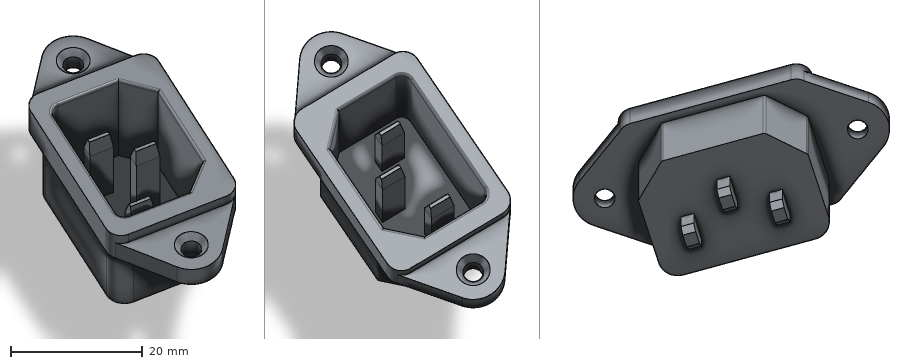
import cadquery as cq
import math

flange_height = 5.6
ear_height = 3.65
body_depth = 13.95
terminal_length = 4.65

flange_length = 30.75
flange_width = 21.8
flange_corner_radius = 2.6
overall_length = 49.85
ear_hole_x = 20.1
ear_radius = overall_length / 2 - ear_hole_x
ear_hole_diameter = 3.1
countersink_diameter = 5.15

wall = 1.4
recess_length = 24.2
recess_width = 16.4
recess_bevel = 4.5
recess_corner_radius = 1.65
recess_lip_radius = 0.45
body_length = recess_length + 2 * wall
body_width = recess_width + 2 * wall
body_corner_radius = recess_corner_radius + wall
body_bevel = recess_bevel + wall * (2 - math.sqrt(2))
body_bevel_fillet = 0.6

blade_thickness = 2.05
blade_width = 4.05
blade_spacing_x = 7.05
blade_offset_y = 2.2
blade_tip_thickness = 0.6
blade_tip_width = 3.5
blade_taper_height = 2.5
earth_tip_drop = 1.6
line_tip_drop = 4.7
terminal_bevel_width = 1.0
terminal_bevel_height = 1.1


def socket_prism(length, width, bevel, corner_radius, bottom, top):
    """Prism with two bevelled corners on +Y and two rounded corners on -Y."""
    block = cq.Workplane("XY").box(length, width, top - bottom, centered=(True, True, False))
    block = block.edges("|Z and >Y").chamfer(bevel)
    block = block.edges("|Z and <Y").fillet(corner_radius)
    return block.translate((0, 0, bottom))


def make_flange():
    block = cq.Workplane("XY").box(
        flange_length, flange_width, flange_height, centered=(True, True, False)
    )
    return block.edges("|Z").fillet(flange_corner_radius)


def make_ears():
    """Rounded ears whose straight sides start midway round the flange corners."""
    corner_inset = flange_corner_radius * (1 - math.sqrt(0.5))
    inner_x = flange_length / 2 - corner_inset
    inner_y = flange_width / 2 - corner_inset
    run = ear_hole_x - inner_x
    center_distance = math.hypot(run, inner_y)
    normal_angle = math.acos(-ear_radius / center_distance) - math.atan2(inner_y, run)
    normal_x = math.cos(normal_angle)
    normal_y = math.sin(normal_angle)
    outer_x = ear_hole_x + ear_radius * normal_x
    outer_y = ear_radius * normal_y
    tip_x = overall_length / 2
    return (
        cq.Workplane("XY")
        .moveTo(inner_x, -inner_y)
        .lineTo(outer_x, -outer_y)
        .threePointArc((tip_x, 0), (outer_x, outer_y))
        .lineTo(inner_x, inner_y)
        .lineTo(-inner_x, inner_y)
        .lineTo(-outer_x, outer_y)
        .threePointArc((-tip_x, 0), (-outer_x, -outer_y))
        .lineTo(-inner_x, -inner_y)
        .close()
        .extrude(ear_height)
    )


def make_ear_hole(x):
    """Through hole with a conical countersink at the top of the ear."""
    hole_radius = ear_hole_diameter / 2
    sink_radius = countersink_diameter / 2
    sink_depth = sink_radius - hole_radius
    hole = cq.Workplane("XY").circle(hole_radius).extrude(ear_height)
    cone_base = cq.Vector(0, 0, ear_height - sink_depth)
    cone = cq.Solid.makeCone(hole_radius, sink_radius, sink_depth, cone_base)
    return hole.union(cq.Workplane(obj=cone)).translate((x, 0, 0))


def make_recess():
    """Cavity that leaves a floor as thick as the body wall."""
    floor = wall - body_depth
    return socket_prism(
        recess_length, recess_width, recess_bevel, recess_corner_radius, floor, flange_height
    )


def make_blade(x, y, tip_drop):
    """Blade through the floor: tapered tip above, bevelled terminal below."""
    bottom = -body_depth - terminal_length
    shoulder = flange_height - tip_drop - blade_taper_height
    shank = cq.Workplane("XY").box(
        blade_thickness, blade_width, shoulder - bottom, centered=(True, True, False)
    )
    shank = shank.faces("<Z").edges("|X").chamfer(terminal_bevel_height, terminal_bevel_width)
    tip = (
        cq.Workplane("XY", origin=(0, 0, shoulder - bottom))
        .rect(blade_thickness, blade_width)
        .workplane(offset=blade_taper_height)
        .rect(blade_tip_thickness, blade_tip_width)
        .loft()
    )
    return shank.union(tip).translate((x, y, bottom))


body = socket_prism(
    body_length, body_width, body_bevel, body_corner_radius, -body_depth, flange_height
)
bevel_start_y = body_width / 2 - body_bevel
bevel_edges = body.edges("|Z").filter(lambda edge: edge.Center().y > bevel_start_y - body_bevel_fillet)
body = bevel_edges.fillet(body_bevel_fillet)

shell = make_flange().union(make_ears()).union(body).cut(make_recess())
mouth = shell.faces(">Z").val().innerWires()[0]
shell = shell.newObject(mouth.Edges()).fillet(recess_lip_radius)
for hole_x in (-ear_hole_x, ear_hole_x):
    shell = shell.cut(make_ear_hole(hole_x))

blade_places = [
    (-blade_spacing_x, -blade_offset_y, line_tip_drop),
    (0, blade_offset_y, earth_tip_drop),
    (blade_spacing_x, -blade_offset_y, line_tip_drop),
]
result = shell
for blade_x, blade_y, drop in blade_places:
    result = result.union(make_blade(blade_x, blade_y, drop))